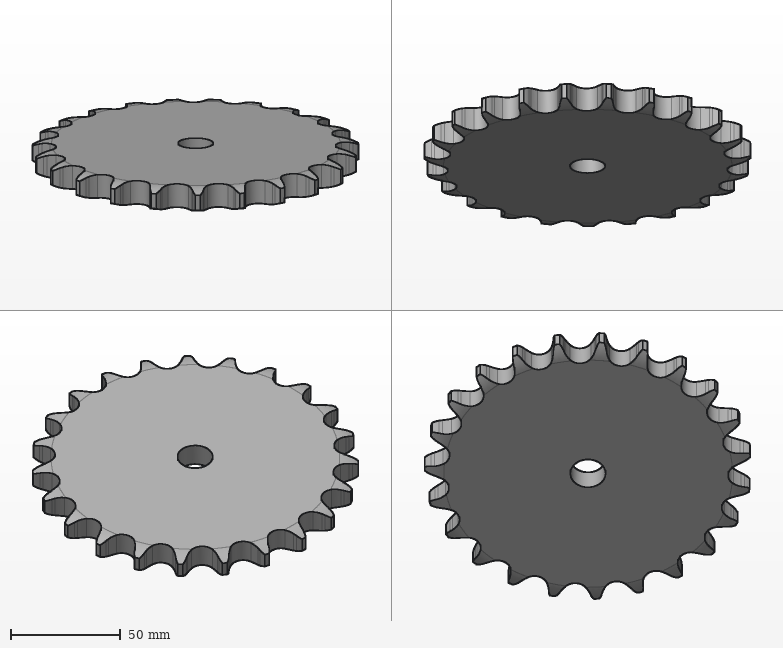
import cadquery as cq
import math


tooth_count = 23
chain_pitch = 19.0
roller_dia = 11.9
seat_dia = 12.0
overall_width = 148.8
thickness = 11.2
bore_dia = 16.0
crown_depth = 2.1
crown_radius = chain_pitch
cutter_overrun = 3.0


def polar(center, radius, angle):
    """Point at a radius and angle (radians) around a center."""
    return (center[0] + radius * math.cos(angle), center[1] + radius * math.sin(angle))


def mirrored(point):
    """Point reflected across the gap centerline."""
    return (-point[0], point[1])


tooth_angle = 360 / tooth_count
half_tooth = math.radians(tooth_angle / 2)
seat_angle = math.radians(35 + 60 / tooth_count)
working_angle = math.radians(18 - 56 / tooth_count)
flank_angle = seat_angle - working_angle
working_offset = 0.8 * roller_dia
topping_offset = 1.4 * roller_dia

pitch_radius = chain_pitch / (2 * math.sin(half_tooth))
seat_radius = seat_dia / 2
working_radius = seat_radius + working_offset
topping_radius = (
    working_offset * math.cos(working_angle)
    + topping_offset * math.cos(flank_angle - half_tooth)
    - working_radius
)
crown_width = math.sqrt(crown_radius**2 - (crown_radius - crown_depth) ** 2)

seat_center = (0, pitch_radius)
topping_center = polar(seat_center, topping_offset, math.pi + half_tooth)
width_angle = math.pi / 2 + half_tooth / 2
width_to_center = topping_center[0] * math.cos(width_angle) + topping_center[1] * math.sin(width_angle)
tip_angle = width_angle - math.acos((overall_width / 2 - width_to_center) / topping_radius)
tip = polar(topping_center, topping_radius, tip_angle)
outer_radius = math.hypot(*tip)


def crowned_blank():
    """Toothless disc whose faces roll over to a narrower rim."""
    face_radius = outer_radius - crown_width
    half_thickness = thickness / 2
    half_rim = half_thickness - crown_depth
    crown_sweep = math.asin(crown_width / crown_radius)
    crown_center = (face_radius, half_thickness - crown_radius)
    crown_mid = polar(crown_center, crown_radius, math.pi / 2 - crown_sweep / 2)
    return (
        cq.Workplane("XZ")
        .moveTo(0, -half_thickness)
        .lineTo(face_radius, -half_thickness)
        .threePointArc((crown_mid[0], -crown_mid[1]), (outer_radius, -half_rim))
        .lineTo(outer_radius, half_rim)
        .threePointArc(crown_mid, (face_radius, half_thickness))
        .lineTo(0, half_thickness)
        .close()
        .revolve(360, (0, 0), (0, 1))
    )


def gap_cutter():
    """Prism filling the tooth gap that is centered on +Y."""
    working_center = polar(seat_center, working_offset, seat_angle)

    root = (0, pitch_radius - seat_radius)
    seat_end = polar(seat_center, seat_radius, math.pi + seat_angle)
    working_mid = polar(working_center, working_radius, math.pi + seat_angle - working_angle / 2)
    working_end = polar(working_center, working_radius, math.pi + flank_angle)
    topping_start = polar(topping_center, topping_radius, flank_angle)
    topping_mid = polar(topping_center, topping_radius, (flank_angle + tip_angle) / 2)
    beyond_tip = (tip[0], outer_radius + cutter_overrun)

    return (
        cq.Workplane("XY")
        .workplane(offset=-thickness / 2 - cutter_overrun)
        .moveTo(*beyond_tip)
        .lineTo(*tip)
        .threePointArc(topping_mid, topping_start)
        .lineTo(*working_end)
        .threePointArc(working_mid, seat_end)
        .threePointArc(root, mirrored(seat_end))
        .threePointArc(mirrored(working_mid), mirrored(working_end))
        .lineTo(*mirrored(topping_start))
        .threePointArc(mirrored(topping_mid), mirrored(tip))
        .lineTo(*mirrored(beyond_tip))
        .close()
        .extrude(thickness + 2 * cutter_overrun)
    )


result = crowned_blank().faces(">Z").workplane().hole(bore_dia)

cutter = gap_cutter()
for gap in range(tooth_count):
    result = result.cut(cutter.rotate((0, 0, 0), (0, 0, 1), gap * tooth_angle))